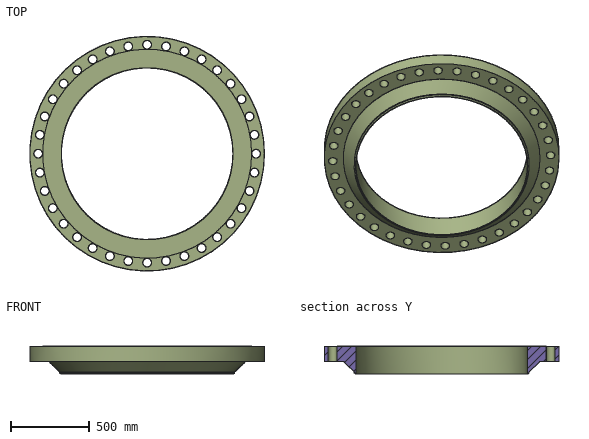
import cadquery as cq

outer_radius = 752.0
bore_radius = 550.0
total_height = 179.0
rim_thickness = 98.0

face_radius = 670.0
face_height = 2.0

hub_top_radius = 630.0
hub_step_height = 2.0
hub_end_radius = 561.0
lip_end_radius = 552.0
lip_height = 14.0
lip_bevel_height = 6.0

bolt_count = 36
bolt_circle_radius = 698.0
bolt_hole_diameter = 54.0

rim_bottom = total_height - rim_thickness
rim_top = total_height - face_height


def make_ring():
    """Revolve the half section, with radius along X and height along Z."""
    section = [
        (bore_radius, 0),
        (lip_end_radius, 0),
        (hub_end_radius, lip_bevel_height),
        (hub_end_radius, lip_height),
        (hub_top_radius, rim_bottom - hub_step_height),
        (hub_top_radius, rim_bottom),
        (outer_radius, rim_bottom),
        (outer_radius, rim_top),
        (face_radius, rim_top),
        (face_radius, total_height),
        (bore_radius, total_height),
    ]
    profile = cq.Workplane("XZ").polyline(section).close()
    return profile.revolve(360, (0, 0, 0), (0, 1, 0))


def make_bolt_holes():
    """Full-height cutters spaced evenly around the bolt circle."""
    return (
        cq.Workplane("XY")
        .polarArray(bolt_circle_radius, 0, 360, bolt_count)
        .circle(bolt_hole_diameter / 2)
        .extrude(total_height)
    )


result = make_ring().cut(make_bolt_holes())